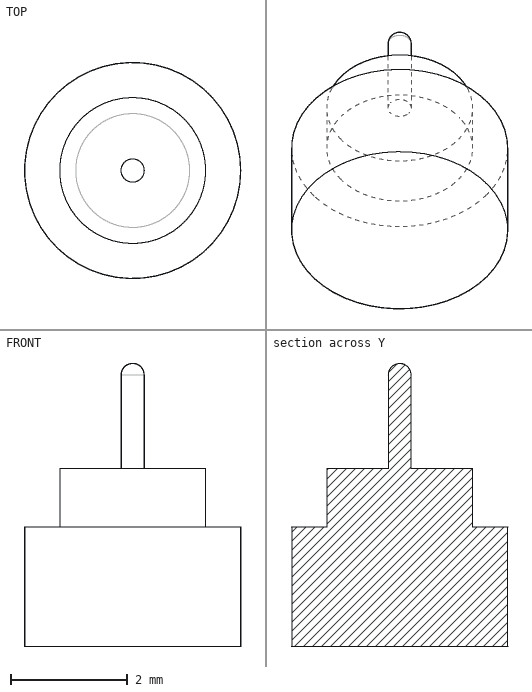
import cadquery as cq

total_height = 4.85
body_diameter = 3.7
body_height = 2.05
collar_diameter = 2.5
collar_height = 1.0
insulator_diameter = 1.95
pin_diameter = 0.4

collar_top = body_height + collar_height
pin_radius = pin_diameter / 2
dome_start = total_height - pin_radius


def cylinder(diameter, bottom, top):
    """Upright cylinder on the Z axis between two levels."""
    return cq.Workplane("XY").workplane(offset=bottom).circle(diameter / 2).extrude(top - bottom)


shell = cylinder(body_diameter, 0, body_height)
shell = shell.union(cylinder(collar_diameter, body_height, collar_top))
shell = shell.cut(cylinder(insulator_diameter, body_height, collar_top))

insulator = cylinder(insulator_diameter, body_height, collar_top)

pin = cylinder(pin_diameter, collar_top, dome_start)
dome = cq.Workplane("XY").workplane(offset=dome_start).sphere(pin_radius)
pin = pin.union(dome)

result = shell.union(insulator, clean=False).union(pin, clean=False)